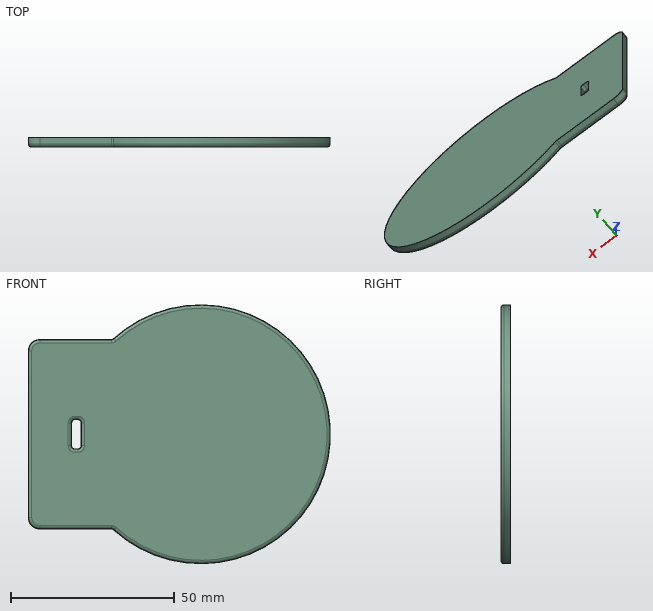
import cadquery as cq

length = 92.5
thickness = 3.0
disc_diameter = 79.3
tab_height = 58.0
tab_corner_radius = 3.5
edge_round = 1.0
neck_radius = 1.0

slot_width = 3.0
slot_height = 9.0
slot_corner_radius = 1.0
slot_from_tab_end = 14.7

disc_radius = disc_diameter / 2
tab_reach = length - disc_radius


def plate():
    """Disc centred on the Y axis with a rectangular tab; the front face is at Y = 0."""
    disc = cq.Workplane("XZ").circle(disc_radius).extrude(-thickness)
    tab = (
        cq.Workplane("XZ")
        .center(-tab_reach / 2, 0)
        .rect(tab_reach, tab_height)
        .extrude(-thickness)
        .edges("|Y and <X")
        .fillet(tab_corner_radius)
    )
    body = disc.union(tab)
    neck_region = cq.selectors.BoxSelector(
        (-disc_radius, 0, -disc_radius),
        (0, thickness, disc_radius),
    )
    return body.edges("|Y").edges(neck_region).fillet(neck_radius)


def slot():
    """Upright rounded slot cutter running through the plate thickness."""
    return (
        cq.Workplane("XZ")
        .center(slot_from_tab_end - tab_reach, 0)
        .rect(slot_width, slot_height)
        .extrude(-thickness)
        .edges("|Y")
        .fillet(slot_corner_radius)
    )


result = plate().cut(slot()).faces("<Y").edges().fillet(edge_round)